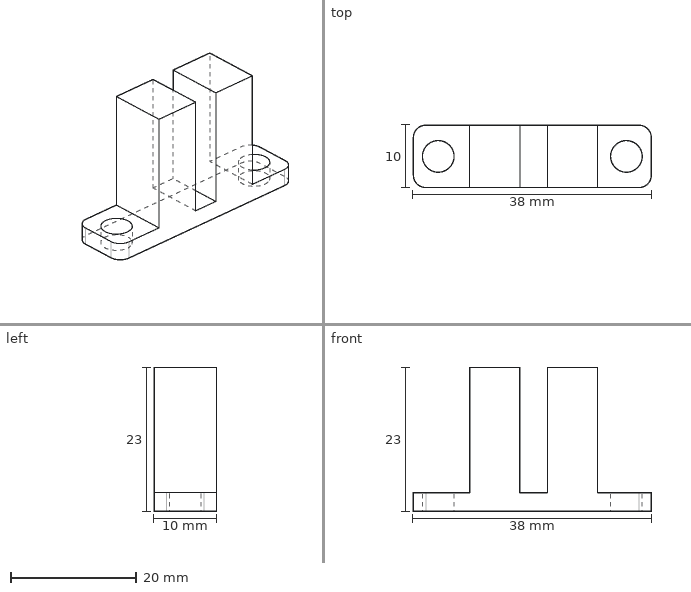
import cadquery as cq

base_length = 38.0
depth = 10.0
base_thickness = 3.0
corner_radius = 2.0

total_height = 23.0
post_width = 8.0
slot_width = 4.37
left_flange_length = 9.0

hole_diameter = 5.0
hole_end_distance = 4.0

left_end = -base_length / 2
left_post_start = left_end + left_flange_length
right_post_start = left_post_start + post_width + slot_width
hole_offset = base_length / 2 - hole_end_distance


def make_base():
    """Flat plate with rounded vertical corners and a hole near each end."""
    plate = cq.Workplane("XY").rect(base_length, depth).extrude(base_thickness)
    plate = plate.edges("|Z").fillet(corner_radius)
    return (
        plate.faces(">Z")
        .workplane()
        .pushPoints([(-hole_offset, 0), (hole_offset, 0)])
        .hole(hole_diameter)
    )


def make_post(start_x):
    """Full-depth rectangular post whose left face lies at start_x."""
    return (
        cq.Workplane("XY")
        .center(start_x + post_width / 2, 0)
        .rect(post_width, depth)
        .extrude(total_height)
    )


result = make_base()
for post_start in (left_post_start, right_post_start):
    result = result.union(make_post(post_start))
result = result.clean()